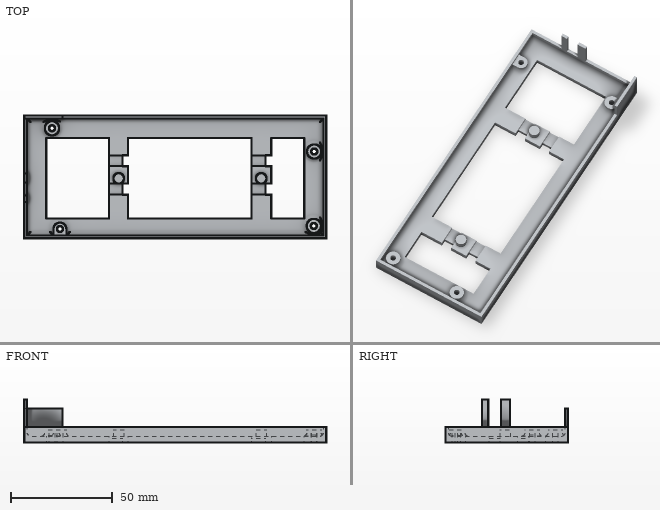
import cadquery as cq
import math


LENGTH = 148.3
WIDTH = 60.3
RIM_HEIGHT = 7.7
WALL = 1.5
FLOOR = 3.0
FILLET = 2.0
FLARE_TOP = FLOOR + FILLET
FLARE_MID = FILLET * (1 - math.cos(math.pi / 4))

WINDOW_END_MARGIN = 11.0
WINDOW_Y_MIN = 9.8
WINDOW_BACK_MARGIN = 11.1
WINDOW_Y_MAX = WIDTH - WINDOW_BACK_MARGIN
BAR_1_X = 41.6
BAR_1_WIDTH = 9.5
BAR_2_X = 111.5
BAR_2_WIDTH = 9.8

NOTCH_WIDTH = 5.3
PEG_BLOCK_Y_MIN = 26.8
PEG_BLOCK_Y_MAX = 35.4
NOTCH_DROP = 1.0
NOTCH_SIDE_CUT = 2.8

PEG_DIAMETER = 5.2
PEG_HEIGHT = 3.2
PEG_Y = PEG_BLOCK_Y_MIN + PEG_DIAMETER / 2
PEG_1_X = 46.4
PEG_2_X = 116.3

BOSS_DIAMETER = 7.0
BOSS_TOP = 6.2
BOSS_CENTRES = [(13.7, 54.0), (142.3, 42.6), (142.1, 6.1)]
WALL_BOSS_CENTRE = (17.6, 4.6)
WALL_BOSS_DIAMETER = 6.3
SCREW_HOLE_DIAMETER = 2.8

CORNER_TAB_LENGTH = 18.9
CORNER_TAB_TOP = 16.7
END_TAB_TOP = 21.2
END_TABS_Y = [(27.3, 31.8), (17.9, 21.1)]


def block(x_min, x_max, y_min, y_max, z_min, z_max):
    """Axis-aligned box given by its limits."""
    box = cq.Workplane("XY").box(x_max - x_min, y_max - y_min, z_max - z_min, centered=False)
    return box.translate((x_min, y_min, z_min))


def tray():
    """Open tray with a fillet where the walls meet the floor."""
    outside = block(0, LENGTH, 0, WIDTH, 0, RIM_HEIGHT)
    inside = block(WALL, LENGTH - WALL, WALL, WIDTH - WALL, FLOOR, RIM_HEIGHT)
    return outside.cut(inside.faces("<Z").edges().fillet(FILLET))


def flared_boss(centre, diameter):
    """Round boss, from the underside up, with a concave flare at the floor."""
    radius = diameter / 2
    profile = (
        cq.Workplane("XZ")
        .lineTo(radius + FILLET, 0)
        .lineTo(radius + FILLET, FLOOR)
        .threePointArc((radius + FLARE_MID, FLOOR + FLARE_MID), (radius, FLARE_TOP))
        .lineTo(radius, BOSS_TOP)
        .lineTo(0, BOSS_TOP)
        .close()
    )
    boss = profile.revolve(360, (0, 0, 0), (0, 1, 0)).translate((centre[0], centre[1], 0))
    return boss.intersect(block(0, LENGTH, 0, WIDTH, 0, RIM_HEIGHT))


def wall_boss_web():
    """Flared block joining the front boss to the front wall."""
    x, y = WALL_BOSS_CENTRE
    half = WALL_BOSS_DIAMETER / 2
    profile = (
        cq.Workplane("XZ")
        .moveTo(-half - FILLET, 0)
        .lineTo(-half - FILLET, FLOOR)
        .threePointArc((-half - FLARE_MID, FLOOR + FLARE_MID), (-half, FLARE_TOP))
        .lineTo(-half, BOSS_TOP)
        .lineTo(half, BOSS_TOP)
        .lineTo(half, FLARE_TOP)
        .threePointArc((half + FLARE_MID, FLOOR + FLARE_MID), (half + FILLET, FLOOR))
        .lineTo(half + FILLET, 0)
        .close()
    )
    return profile.extrude(-y).translate((x, 0, 0))


def windows():
    """The three rectangular openings between the cross bars."""
    spans = [
        (WINDOW_END_MARGIN, BAR_1_X),
        (BAR_1_X + BAR_1_WIDTH, BAR_2_X),
        (BAR_2_X + BAR_2_WIDTH, LENGTH - WINDOW_END_MARGIN),
    ]
    cutter = cq.Workplane("XY")
    for x_min, x_max in spans:
        cutter = cutter.add(block(x_min, x_max, WINDOW_Y_MIN, WINDOW_Y_MAX, 0, RIM_HEIGHT))
    return cutter.combine()


def bar_notches(bar_x, bar_width):
    """Lowered, narrowed stretches of a bar on both sides of its peg block."""
    cutter = cq.Workplane("XY")
    bar_end = bar_x + bar_width
    for y_min in (PEG_BLOCK_Y_MIN - NOTCH_WIDTH, PEG_BLOCK_Y_MAX):
        y_max = y_min + NOTCH_WIDTH
        cutter = cutter.add(block(bar_x, bar_end, y_min, y_max, FLOOR - NOTCH_DROP, FLOOR))
        cutter = cutter.add(block(bar_end - NOTCH_SIDE_CUT, bar_end, y_min, y_max, 0, FLOOR))
    return cutter.combine()


def peg(x):
    """Locating peg standing on a bar."""
    shaft = cq.Workplane("XY").circle(PEG_DIAMETER / 2).extrude(FLOOR + PEG_HEIGHT)
    return shaft.translate((x, PEG_Y, 0))


def rim_tabs():
    """Upright tabs that continue the walls above the rim."""
    tabs = block(0, CORNER_TAB_LENGTH, WIDTH - WALL, WIDTH, 0, CORNER_TAB_TOP)
    for y_min, y_max in END_TABS_Y:
        tabs = tabs.union(block(0, WALL, y_min, y_max, 0, END_TAB_TOP))
    return tabs


def screw_holes():
    """Through holes on the boss axes."""
    centres = BOSS_CENTRES + [WALL_BOSS_CENTRE]
    return cq.Workplane("XY").pushPoints(centres).circle(SCREW_HOLE_DIAMETER / 2).extrude(BOSS_TOP)


frame = tray()
for boss_centre in BOSS_CENTRES:
    frame = frame.union(flared_boss(boss_centre, BOSS_DIAMETER))
frame = frame.union(flared_boss(WALL_BOSS_CENTRE, WALL_BOSS_DIAMETER)).union(wall_boss_web())

frame = frame.cut(windows())
frame = frame.cut(bar_notches(BAR_1_X, BAR_1_WIDTH)).cut(bar_notches(BAR_2_X, BAR_2_WIDTH))
frame = frame.union(peg(PEG_1_X)).union(peg(PEG_2_X)).union(rim_tabs())

result = frame.cut(screw_holes())